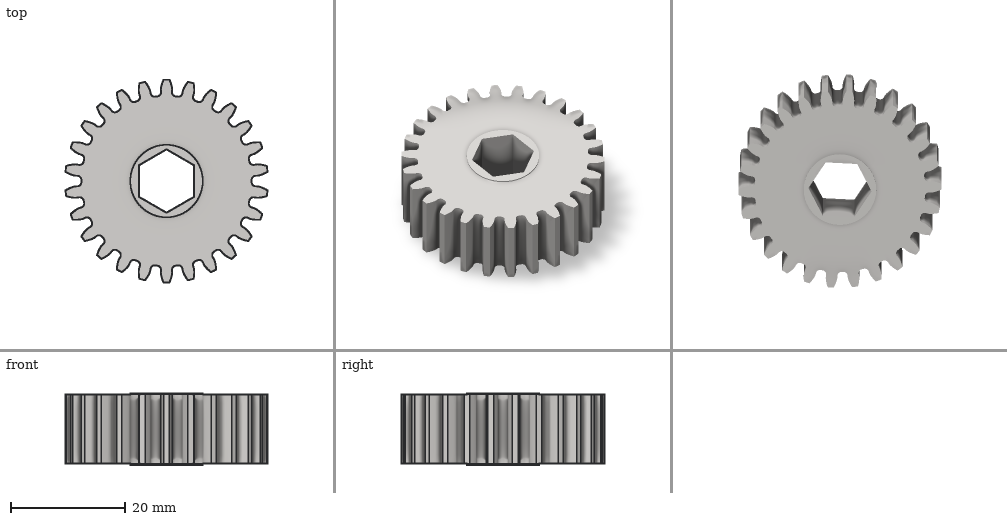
import cadquery as cq
import math

INCH = 25.4
DIAMETRAL_PITCH = 20
TEETH = 26
PRESSURE_ANGLE = math.radians(14.5)
BACKLASH = 0.085
DEDENDUM_FACTOR = 1.25
ROOT_FILLET = 0.7
FIRST_TOOTH_ANGLE = math.pi / 2
FLANK_POINTS = 6

TOTAL_HEIGHT = 12.6
BOSS_HEIGHT = 0.25
BOSS_DIAMETER = 12.7
HEX_ACROSS_FLATS = 9.58

MODULE = INCH / DIAMETRAL_PITCH
FACE_WIDTH = TOTAL_HEIGHT - 2 * BOSS_HEIGHT
PITCH_RADIUS = MODULE * TEETH / 2
TIP_RADIUS = PITCH_RADIUS + MODULE
ROOT_RADIUS = PITCH_RADIUS - DEDENDUM_FACTOR * MODULE
BASE_RADIUS = PITCH_RADIUS * math.cos(PRESSURE_ANGLE)
TOOTH_PITCH = 2 * math.pi / TEETH
TOOTH_THICKNESS = math.pi * MODULE / 2 - BACKLASH


def polar(radius, angle):
    return (radius * math.cos(angle), radius * math.sin(angle))


def involute(angle):
    return math.tan(angle) - angle


def half_tooth_angle(radius):
    """Half the angle a tooth spans at a radius on or outside the base circle."""
    half_at_pitch = TOOTH_THICKNESS / (2 * PITCH_RADIUS)
    local_pressure_angle = math.acos(min(1.0, BASE_RADIUS / radius))
    return half_at_pitch + involute(PRESSURE_ANGLE) - involute(local_pressure_angle)


def gear_outline():
    """Closed tooth outline: root arcs, fillets, radial flanks, involutes and tip arcs."""
    base_half = half_tooth_angle(BASE_RADIUS)
    tip_half = half_tooth_angle(TIP_RADIUS)

    tip_roll = math.sqrt((TIP_RADIUS / BASE_RADIUS) ** 2 - 1)
    rolls = [tip_roll * i / (FLANK_POINTS - 1) for i in range(FLANK_POINTS)]
    flank_radii = [BASE_RADIUS * math.sqrt(1 + roll ** 2) for roll in rolls]

    fillet_centre_radius = ROOT_RADIUS + ROOT_FILLET
    fillet_angle = math.asin(ROOT_FILLET / fillet_centre_radius)
    flank_start_radius = fillet_centre_radius * math.cos(fillet_angle)
    root_half = base_half + fillet_angle

    def fillet_middle(tooth_angle, side):
        """Point of the fillet arc halfway between root circle and flank."""
        centre_angle = tooth_angle + side * root_half
        x, y = polar(fillet_centre_radius, centre_angle)
        half_sweep = (math.pi / 2 - fillet_angle) / 2
        dx, dy = polar(ROOT_FILLET, centre_angle + math.pi + side * half_sweep)
        return (x + dx, y + dy)

    outline = cq.Workplane("XY").moveTo(*polar(ROOT_RADIUS, FIRST_TOOTH_ANGLE - root_half))
    for tooth in range(TEETH):
        middle = FIRST_TOOTH_ANGLE + tooth * TOOTH_PITCH
        next_root_start = middle + TOOTH_PITCH - root_half
        rising = [polar(r, middle - half_tooth_angle(r)) for r in flank_radii]
        falling = [polar(r, middle + half_tooth_angle(r)) for r in reversed(flank_radii)]
        outline = (
            outline
            .threePointArc(fillet_middle(middle, -1), polar(flank_start_radius, middle - base_half))
            .lineTo(*rising[0])
            .spline(rising[1:], includeCurrent=True)
            .threePointArc(polar(TIP_RADIUS, middle), polar(TIP_RADIUS, middle + tip_half))
            .spline(falling[1:], includeCurrent=True)
            .lineTo(*polar(flank_start_radius, middle + base_half))
            .threePointArc(fillet_middle(middle, 1), polar(ROOT_RADIUS, middle + root_half))
            .threePointArc(
                polar(ROOT_RADIUS, middle + TOOTH_PITCH / 2),
                polar(ROOT_RADIUS, next_root_start),
            )
        )
    return outline.close()


def toothed_ring():
    """Gear body with straight teeth, centred on the XY plane."""
    return gear_outline().extrude(FACE_WIDTH).translate((0, 0, -FACE_WIDTH / 2))


def boss():
    """Cylinder running through the gear and standing proud of both faces."""
    return cq.Workplane("XY").cylinder(TOTAL_HEIGHT, BOSS_DIAMETER / 2)


def hex_bore():
    """Through bore with two corners on the Y axis."""
    across_corners = HEX_ACROSS_FLATS / math.cos(math.pi / 6)
    return (
        cq.Workplane("XY")
        .polygon(6, across_corners)
        .extrude(TOTAL_HEIGHT)
        .rotate((0, 0, 0), (0, 0, 1), 90)
        .translate((0, 0, -TOTAL_HEIGHT / 2))
    )


result = toothed_ring().union(boss()).cut(hex_bore())